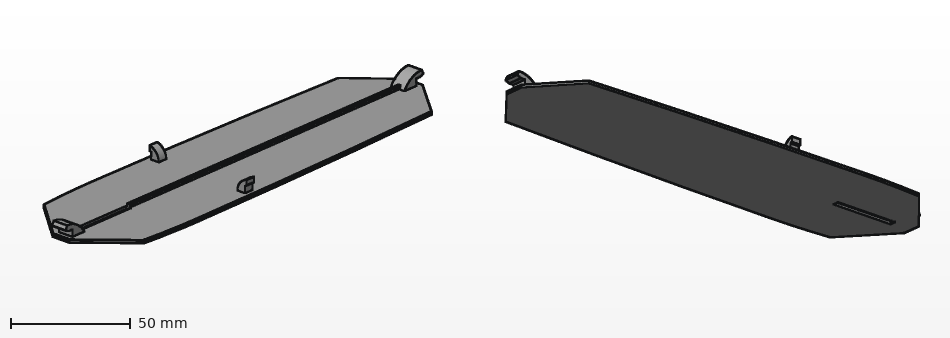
import cadquery as cq
import math

OVERALL_LENGTH = 222.9
OVERALL_WIDTH = 59.16
OVERALL_HEIGHT = 7.74
BOARD_THICKNESS = 1.5
RIB_TOP = 3.0

BOARD_HALF_LENGTH = 110.0
TIP_HALF_WIDTH = 4.7
REAR_SHOULDER = (26.48, 91.6)
REAR_FLANK = (28.87, 8.4)
WIDEST_POINT = (OVERALL_WIDTH / 2, -58.8)
FRONT_SHOULDER = (28.2, -89.7)
BOARD_CHAMFER = 0.3

RIB_WIDTH = 1.6
RIB_CHAMFER = 0.3
SLOT_WIDTH = 2.8
SLOT_START_Y = -68.1

END_HOOK_WIDTH = 7.5
END_HOOK_TIP_Y = OVERALL_LENGTH / 2
END_HOOK_INNER_Y = 99.6
END_HOOK_CREST_Y = 110.4
END_HOOK_NOSE_Z = 5.7
END_HOOK_UNDERSIDE = (109.4, 4.8)
END_HOOK_NECK_Y = 107.1

SIDE_HOOK_WIDTH = 4.7
SIDE_HOOK_REAR_Y = -20.0
SIDE_HOOK_INNER_X = 22.1
SIDE_HOOK_BACK = (23.8, 5.7)
SIDE_HOOK_TIP_X = 27.3
SIDE_HOOK_NOSE_Z = 5.2
SIDE_HOOK_NECK = (26.4, 4.8)


def board():
    """Flat board with cut-back tips, bowed long edges and a chamfered top rim."""
    half = (
        cq.Workplane("XY")
        .moveTo(0, BOARD_HALF_LENGTH)
        .lineTo(TIP_HALF_WIDTH, BOARD_HALF_LENGTH)
        .lineTo(*REAR_SHOULDER)
        .threePointArc(REAR_FLANK, WIDEST_POINT)
        .tangentArcPoint(FRONT_SHOULDER, relative=False)
        .lineTo(TIP_HALF_WIDTH, -BOARD_HALF_LENGTH)
        .lineTo(0, -BOARD_HALF_LENGTH)
        .close()
        .extrude(BOARD_THICKNESS)
    )
    whole = half.union(half.mirror("YZ")).clean()
    return whole.faces(">Z").edges().chamfer(BOARD_CHAMFER)


def bar_along_y(width, y_start, y_end, height):
    """Bar standing on Z = 0, centred on X = 0 between the given Y limits."""
    return (
        cq.Workplane("XY")
        .center(0, (y_start + y_end) / 2)
        .rect(width, abs(y_end - y_start))
        .extrude(height)
    )


def end_hook():
    """Hook at the +Y tip: its back is an arc that is level at the crest, and its nose overhangs."""
    rise = OVERALL_HEIGHT - BOARD_THICKNESS
    reach = END_HOOK_CREST_Y - END_HOOK_INNER_Y
    back_radius = (reach**2 + rise**2) / (2 * rise)
    back_half_angle = math.asin(reach / back_radius) / 2
    back_middle = (
        END_HOOK_CREST_Y - back_radius * math.sin(back_half_angle),
        OVERALL_HEIGHT - back_radius * (1 - math.cos(back_half_angle)),
    )
    return (
        cq.Workplane("YZ", origin=(-END_HOOK_WIDTH / 2, 0, 0))
        .moveTo(END_HOOK_INNER_Y, 0)
        .lineTo(END_HOOK_INNER_Y, BOARD_THICKNESS)
        .threePointArc(back_middle, (END_HOOK_CREST_Y, OVERALL_HEIGHT))
        .lineTo(END_HOOK_TIP_Y, END_HOOK_NOSE_Z)
        .lineTo(*END_HOOK_UNDERSIDE)
        .lineTo(END_HOOK_NECK_Y, END_HOOK_UNDERSIDE[1])
        .lineTo(END_HOOK_NECK_Y, 0)
        .close()
        .extrude(END_HOOK_WIDTH)
    )


def side_hook():
    """Hook beside the +X edge: its back is one arc leaning outward, and its nose overhangs."""
    return (
        cq.Workplane("XZ", origin=(0, SIDE_HOOK_REAR_Y, 0))
        .moveTo(SIDE_HOOK_INNER_X, 0)
        .lineTo(SIDE_HOOK_INNER_X, BOARD_THICKNESS)
        .threePointArc(SIDE_HOOK_BACK, (SIDE_HOOK_TIP_X, OVERALL_HEIGHT))
        .lineTo(SIDE_HOOK_TIP_X, SIDE_HOOK_NOSE_Z)
        .lineTo(*SIDE_HOOK_NECK)
        .lineTo(SIDE_HOOK_NECK[0], 0)
        .close()
        .extrude(SIDE_HOOK_WIDTH)
    )


slot = bar_along_y(SLOT_WIDTH, SLOT_START_Y, -END_HOOK_INNER_Y, BOARD_THICKNESS)
rib = bar_along_y(RIB_WIDTH, SLOT_START_Y, END_HOOK_NECK_Y, RIB_TOP)
rib = rib.faces(">Z").edges("|Y").chamfer(RIB_CHAMFER)

result = board().cut(slot).union(rib)
for hook, mirror_plane in ((end_hook(), "XZ"), (side_hook(), "YZ")):
    result = result.union(hook).union(hook.mirror(mirror_plane))